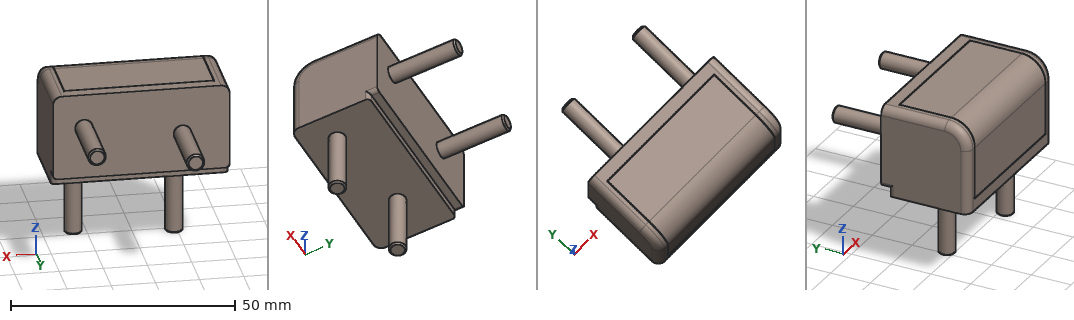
import cadquery as cq
import math

housing_width = 40.0
housing_side = 22.0
front_top_radius = 6.0
end_radius = 2.0

notch_side = 2.0
notch_edge_radius = 1.0

recess_margin = 3.0
panel_clearance = 0.1
panel_thickness = 2.5

pin_diameter = 4.0
pin_length = 17.0
pin_chamfer = 0.4
pin_places = [(-9.3, 11.0), (13.0, 14.0)]

recess_width = housing_width - 2 * recess_margin
recess_depth = panel_thickness + panel_clearance


def rounded_block(width, low_edge, inset):
    """Block spanning low_edge to the housing faces less inset, rounded at the front and top."""
    high_edge = housing_side - inset
    radius = front_top_radius - inset
    bend = high_edge - radius
    bend_middle = bend + radius * math.sqrt(0.5)
    return (
        cq.Workplane("YZ", origin=(-width / 2, 0, 0))
        .moveTo(-low_edge, low_edge)
        .lineTo(-high_edge, low_edge)
        .lineTo(-high_edge, bend)
        .threePointArc((-bend_middle, bend_middle), (-bend, high_edge))
        .lineTo(-low_edge, high_edge)
        .close()
        .extrude(width)
    )


def wrap(width, margin, depth):
    """L-shaped shell of the given depth, flush with the front and top of the housing."""
    inside = rounded_block(width, 0, depth)
    return rounded_block(width, margin, 0).cut(inside)


def make_housing():
    block = rounded_block(housing_width, 0, 0)

    front_and_top = cq.selectors.BoxSelector(
        (-housing_width, -2 * housing_side, recess_margin),
        (housing_width, -recess_margin, 2 * housing_side),
    )
    block = block.faces("<X or >X").edges(front_and_top).fillet(end_radius)

    notch = cq.Workplane("XY").box(housing_width, 2 * notch_side, 2 * notch_side)
    block = block.cut(notch)
    around_notch = cq.selectors.BoxSelector(
        (-housing_width, -recess_margin, -recess_margin),
        (housing_width, recess_margin, recess_margin),
    )
    block = block.faces("<X or >X").edges(around_notch).fillet(notch_edge_radius)

    return block.cut(wrap(recess_width, recess_margin, recess_depth))


def make_panel():
    return wrap(
        recess_width - 2 * panel_clearance,
        recess_margin + panel_clearance,
        panel_thickness,
    )


def make_pin():
    """Pin standing on the origin along +Z, chamfered at its free end."""
    pin = cq.Workplane("XY").circle(pin_diameter / 2).extrude(pin_length)
    return pin.faces(">Z").chamfer(pin_chamfer)


def make_back_pin(x, height):
    return make_pin().rotate((0, 0, 0), (1, 0, 0), -90).translate((x, 0, height))


def make_bottom_pin(x, distance):
    return make_pin().rotate((0, 0, 0), (1, 0, 0), 180).translate((x, -distance, 0))


housing = make_housing()
panel = make_panel()
back_pins = [make_back_pin(x, offset) for x, offset in pin_places]
bottom_pins = [make_bottom_pin(x, offset) for x, offset in pin_places]

result = cq.Compound.makeCompound(
    [housing.val(), panel.val()] + [pin.val() for pin in back_pins + bottom_pins]
)